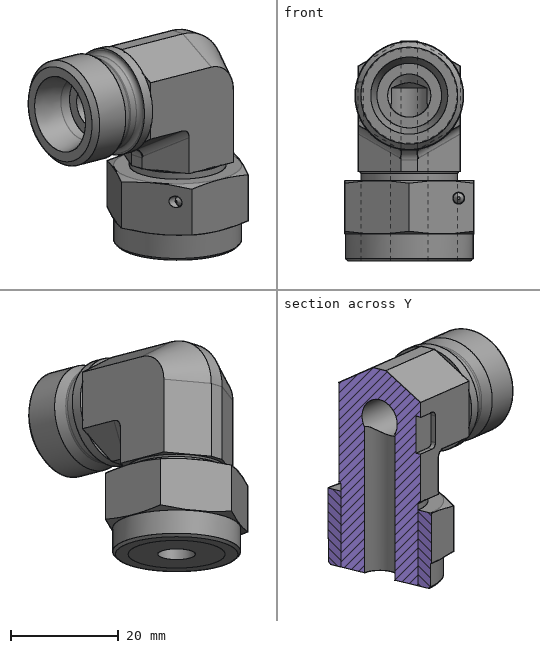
import cadquery as cq
import math

overall_length = 42.85
port_axis_height = 30.75

nut_flats = 24.0
hexagon_half_angle = 30
nut_corner_radius = nut_flats / 2 / math.cos(math.radians(hexagon_half_angle))

leg_width = 19.0
leg_height = 20.2
leg_flat_width = 3.0
leg_slope = math.radians(30)
leg_bottom = 16.65
inner_corner_radius = 1.9

collar_start = 15.0
collar_end = 17.0
cone_end = 21.55
port_face = overall_length - nut_corner_radius

collar_diameter = 20.2
groove_diameter = 17.7
thread_diameter = 20.0
groove_cone_angle = math.radians(30)
collar_fillet = 0.9
cone_fillet = 0.75
port_rim_diameter = 18.0

seat_mouth_diameter = 14.3
socket_diameter = 12.0
seat_half_angle = math.radians(12)
socket_depth = 7.6
port_bore_diameter = 8.0
port_bore_overrun = 0.8
stem_bore_diameter = 7.0
stem_bore_overrun = 1.37
drill_half_angle = math.radians(59)

stem_diameter = 18.0
stem_flare_diameter = 18.4
stem_flare_height = 0.4

recess_size = 7.2
recess_corner_radius = 1.0
recess_depth = 1.0
recess_y = -1.0
recess_z = 29.65

nut_rim_diameter = 23.8
nut_height = 15.0
nut_hex_bottom = 5.0
nut_bevel_angle = math.radians(15)
nut_bottom_chamfer = 0.5

pin_x = 9.17
pin_z = 11.7
pin_diameter = 2.0
pin_hole_diameter = 2.2
pin_tip_diameter = 0.5
pin_tip_half_angle = math.radians(45)
pin_tip_y = -8.4
pin_inner_y = -4.65


def revolve_about_port(points):
    """Turn a closed outline of (radius, y) points about the port axis."""
    plane = cq.Workplane("XY", origin=(0, 0, port_axis_height))
    return plane.polyline(points).close().revolve(360, (0, 0), (0, 1))


def revolve_about_stem(points):
    """Turn a closed outline of (radius, z) points about the Z axis."""
    return cq.Workplane("XZ").polyline(points).close().revolve(360, (0, 0), (0, 1))


def leg_upper_points():
    """Upper half of the leg section, from the +X side over the top to the -X side."""
    half_width = leg_width / 2
    half_height = leg_height / 2
    half_flat = leg_flat_width / 2
    side_height = half_height - (half_width - half_flat) * math.tan(leg_slope)
    return [
        (half_width, side_height),
        (half_flat, half_height),
        (-half_flat, half_height),
        (-half_width, side_height),
    ]


def elbow_block():
    """Two mitred legs, rounded about the X direction on the outside of the bend."""
    upper = leg_upper_points()
    section = upper + [(-x, -height) for x, height in upper]
    half_section = upper + [(-leg_width / 2, 0), (leg_width / 2, 0)]
    corner = (0, 0, port_axis_height)

    port_leg = cq.Workplane("XZ", origin=corner).polyline(section).close().extrude(collar_start)
    stem_leg = (
        cq.Workplane("XY", origin=corner)
        .polyline(section)
        .close()
        .extrude(leg_bottom - port_axis_height)
    )
    legs = port_leg.union(stem_leg)
    half_width = leg_width / 2
    side_height = upper[0][1]
    half_height = leg_height / 2
    margin = 0.45
    inner_corner = cq.selectors.BoxSelector(
        (-half_width - margin, -half_height - margin, port_axis_height - half_height - margin),
        (half_width + margin, -side_height - margin, port_axis_height - side_height - margin),
    )
    legs = legs.edges(inner_corner).fillet(inner_corner_radius)
    bend = (
        cq.Workplane("XZ", origin=corner)
        .polyline(half_section)
        .close()
        .revolve(90, (0, 0), (-1, 0))
    )
    return legs.union(bend)


def port_spigot():
    """Collar, filleted groove and plain thread cylinder of the port."""
    groove_radius = groove_diameter / 2
    thread_radius = thread_diameter / 2
    cone_start = cone_end - (thread_radius - groove_radius) / math.tan(groove_cone_angle)
    port_chamfer = (thread_diameter - port_rim_diameter) / 2
    tangent = cone_fillet * math.tan(groove_cone_angle / 2)
    diagonal = collar_fillet * (1 - math.sqrt(0.5))
    arc_start = cone_start - tangent
    mid_angle = groove_cone_angle / 2

    def cone_arc_point(angle):
        return (
            groove_radius + cone_fillet * (1 - math.cos(angle)),
            -(arc_start + cone_fillet * math.sin(angle)),
        )

    return (
        cq.Workplane("XY", origin=(0, 0, port_axis_height))
        .moveTo(0, -collar_start)
        .lineTo(collar_diameter / 2, -collar_start)
        .lineTo(collar_diameter / 2, -collar_end)
        .lineTo(groove_radius + collar_fillet, -collar_end)
        .threePointArc(
            (groove_radius + diagonal, -collar_end - diagonal),
            (groove_radius, -collar_end - collar_fillet),
        )
        .lineTo(groove_radius, -arc_start)
        .threePointArc(cone_arc_point(mid_angle), cone_arc_point(groove_cone_angle))
        .lineTo(thread_radius, -cone_end)
        .lineTo(thread_radius, port_chamfer - port_face)
        .lineTo(thread_radius - port_chamfer, -port_face)
        .lineTo(0, -port_face)
        .close()
        .revolve(360, (0, 0), (0, 1))
    )


def stem():
    """Round stem below the elbow, with a small flare under the block."""
    radius = stem_diameter / 2
    return revolve_about_stem([
        (0, 0),
        (radius, 0),
        (radius, leg_bottom - stem_flare_height),
        (stem_flare_diameter / 2, leg_bottom),
        (0, leg_bottom),
    ])


def port_bore():
    """Tapered seat, tube socket and a drilled hole with a conical bottom."""
    seat_length = (seat_mouth_diameter - socket_diameter) / 2 / math.tan(seat_half_angle)
    bore_radius = port_bore_diameter / 2
    drill_point = bore_radius / math.tan(drill_half_angle)
    return revolve_about_port([
        (0, -port_face),
        (seat_mouth_diameter / 2, -port_face),
        (socket_diameter / 2, seat_length - port_face),
        (socket_diameter / 2, socket_depth - port_face),
        (bore_radius, socket_depth - port_face),
        (bore_radius, port_bore_overrun),
        (0, port_bore_overrun + drill_point),
    ])


def stem_bore():
    """Hole drilled up the stem, ending in a cone above the port axis."""
    radius = stem_bore_diameter / 2
    shoulder = port_axis_height + stem_bore_overrun
    drill_point = radius / math.tan(drill_half_angle)
    return revolve_about_stem([(0, 0), (radius, 0), (radius, shoulder), (0, shoulder + drill_point)])


def side_recess():
    """Shallow square recess with rounded corners."""
    return (
        cq.Workplane("YZ", origin=(-leg_width / 2, recess_y, recess_z))
        .rect(recess_size, recess_size)
        .extrude(recess_depth)
        .edges("|X")
        .fillet(recess_corner_radius)
    )


def make_elbow():
    outside = elbow_block().union(port_spigot()).union(stem())
    return outside.cut(port_bore()).cut(stem_bore()).cut(side_recess())


def make_nut():
    """Hexagon bevelled at both ends above a round skirt, bored for the stem and the pin."""
    rim_radius = nut_rim_diameter / 2
    bevel = (nut_corner_radius - rim_radius) * math.tan(nut_bevel_angle)
    hexagon = (
        cq.Workplane("XY")
        .polygon(6, 2 * nut_corner_radius)
        .extrude(nut_height)
        .rotate((0, 0, 0), (0, 0, 1), hexagon_half_angle)
    )
    envelope = revolve_about_stem([
        (0, 0),
        (rim_radius - nut_bottom_chamfer, 0),
        (rim_radius, nut_bottom_chamfer),
        (rim_radius, nut_hex_bottom),
        (nut_corner_radius, nut_hex_bottom + bevel),
        (nut_corner_radius, nut_height - bevel),
        (rim_radius, nut_height),
        (0, nut_height),
    ])
    stem_hole = cq.Workplane("XY").circle(stem_diameter / 2).extrude(nut_height)
    pin_hole = (
        cq.Workplane("XZ", origin=(pin_x, pin_inner_y, pin_z))
        .circle(pin_hole_diameter / 2)
        .extrude(nut_corner_radius)
    )
    return hexagon.intersect(envelope).cut(stem_hole).cut(pin_hole)


def make_pin():
    """Round pin with a blunt conical tip at its outer end."""
    radius = pin_diameter / 2
    tip_radius = pin_tip_diameter / 2
    tip_length = (radius - tip_radius) / math.tan(pin_tip_half_angle)
    return (
        cq.Workplane("XY", origin=(pin_x, 0, pin_z))
        .polyline([
            (0, pin_inner_y),
            (radius, pin_inner_y),
            (radius, pin_tip_y + tip_length),
            (tip_radius, pin_tip_y),
            (0, pin_tip_y),
        ])
        .close()
        .revolve(360, (0, 0), (0, 1))
    )


elbow = make_elbow()
nut = make_nut()
pin = make_pin()

result = cq.Compound.makeCompound([elbow.solids().val(), nut.solids().val(), pin.solids().val()])